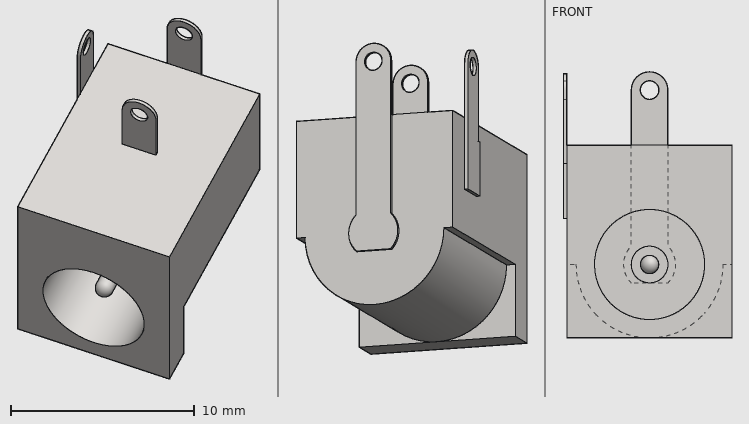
import cadquery as cq
import math

BODY_WIDTH = 9.0
BODY_LENGTH = 12.5
BODY_HEIGHT = 10.5
FLANGE_THICKNESS = 2.0
BARREL_RADIUS = 4.0
AXIS_HEIGHT = BARREL_RADIUS

SOCKET_DIAMETER = 6.0
REAR_WALL_THICKNESS = 2.0
SOCKET_DEPTH = BODY_LENGTH - REAR_WALL_THICKNESS
PIN_DIAMETER = 1.0
PIN_TIP_DEPTH = 1.0
PIN_COLLAR_DIAMETER = 2.0
PIN_COLLAR_LENGTH = 1.0

TAB_THICKNESS = 0.2
TAB_WIDTH = 2.0
TAB_HOLE_DIAMETER = 1.0
TAB_HOLE_HEIGHT = BODY_HEIGHT + 3.0

MIDDLE_TAB_TO_BACK = 6.0

REAR_PAD_HALF_HEIGHT = TAB_WIDTH / 2
REAR_PAD_RADIUS = math.hypot(TAB_WIDTH / 2, REAR_PAD_HALF_HEIGHT)

SIDE_TAB_TO_BACK = 2.0
SIDE_TAB_WIDTH = 1.8
SIDE_TAB_BOTTOM = 6.5
SIDE_FOOT_HEIGHT = 3.0


def box_between(x_range, y_range, z_range):
    """Axis-aligned box given its limits on each axis."""
    size = [high - low for low, high in (x_range, y_range, z_range)]
    corner = (x_range[0], y_range[0], z_range[0])
    return cq.Workplane("XY").box(*size, centered=False).translate(corner)


def cylinder_along_y(diameter, start, end, height):
    """Cylinder parallel to Y, centred on X = 0 at the given height."""
    axis_start = cq.Vector(0, start, height)
    axis_direction = cq.Vector(0, 1, 0)
    return cq.Workplane(cq.Solid.makeCylinder(diameter / 2, end - start, axis_start, axis_direction))


def make_housing():
    """Full-height front flange, block above the axis and a round barrel below it."""
    half_width = BODY_WIDTH / 2
    x_range = (-half_width, half_width)
    flange = box_between(x_range, (0, FLANGE_THICKNESS), (0, BODY_HEIGHT))
    block = box_between(x_range, (0, BODY_LENGTH), (AXIS_HEIGHT, BODY_HEIGHT))
    barrel = cylinder_along_y(2 * BARREL_RADIUS, 0, BODY_LENGTH, AXIS_HEIGHT)
    return flange.union(block).union(barrel)


def make_pin():
    """Round-ended contact pin with a thicker collar at the socket floor."""
    radius = PIN_DIAMETER / 2
    tip_center = PIN_TIP_DEPTH + radius
    shaft = cylinder_along_y(PIN_DIAMETER, tip_center, BODY_LENGTH, AXIS_HEIGHT)
    tip = cq.Workplane("XZ").sphere(radius).translate((0, tip_center, AXIS_HEIGHT))
    collar_start = SOCKET_DEPTH - PIN_COLLAR_LENGTH
    collar = cylinder_along_y(PIN_COLLAR_DIAMETER, collar_start, BODY_LENGTH, AXIS_HEIGHT)
    return collar.union(shaft).union(tip)


def make_tab(width, bottom, front):
    """Upright strip across X with a rounded, pierced top; its front face lies at Y = front."""
    back = front + TAB_THICKNESS
    strip = box_between((-width / 2, width / 2), (front, back), (bottom, TAB_HOLE_HEIGHT))
    rounded_top = cylinder_along_y(width, front, back, TAB_HOLE_HEIGHT)
    hole = cylinder_along_y(TAB_HOLE_DIAMETER, front, back, TAB_HOLE_HEIGHT)
    return strip.union(rounded_top).cut(hole)


def make_middle_tab():
    front = BODY_LENGTH - MIDDLE_TAB_TO_BACK - TAB_THICKNESS
    return make_tab(TAB_WIDTH, BODY_HEIGHT, front)


def make_rear_tab():
    """Tab on the back face, ending in a round pad cut flat at the bottom."""
    back = BODY_LENGTH + TAB_THICKNESS
    pad_bottom = AXIS_HEIGHT - REAR_PAD_HALF_HEIGHT
    pad_top = AXIS_HEIGHT + REAR_PAD_HALF_HEIGHT
    disc = cylinder_along_y(2 * REAR_PAD_RADIUS, BODY_LENGTH, back, AXIS_HEIGHT)
    pad_limits = box_between((-REAR_PAD_RADIUS, REAR_PAD_RADIUS), (BODY_LENGTH, back), (pad_bottom, pad_top))
    return make_tab(TAB_WIDTH, pad_bottom, BODY_LENGTH).union(disc.intersect(pad_limits))


def make_side_tab():
    """Tab on the -X face, turned a quarter turn from the other two."""
    side_face = -BODY_WIDTH / 2
    back_edge = BODY_LENGTH - SIDE_TAB_TO_BACK
    tab = make_tab(SIDE_TAB_WIDTH, SIDE_TAB_BOTTOM, 0)
    tab = tab.rotate((0, 0, 0), (0, 0, 1), 90)
    tab = tab.translate((side_face, back_edge - SIDE_TAB_WIDTH / 2, 0))
    foot = box_between(
        (side_face - TAB_THICKNESS, side_face),
        (back_edge - TAB_WIDTH, back_edge),
        (SIDE_TAB_BOTTOM, SIDE_TAB_BOTTOM + SIDE_FOOT_HEIGHT),
    )
    return tab.union(foot)


socket = cylinder_along_y(SOCKET_DIAMETER, 0, SOCKET_DEPTH, AXIS_HEIGHT)
result = make_housing().cut(socket).union(make_pin())
for tab in (make_middle_tab(), make_rear_tab(), make_side_tab()):
    result = result.union(tab)